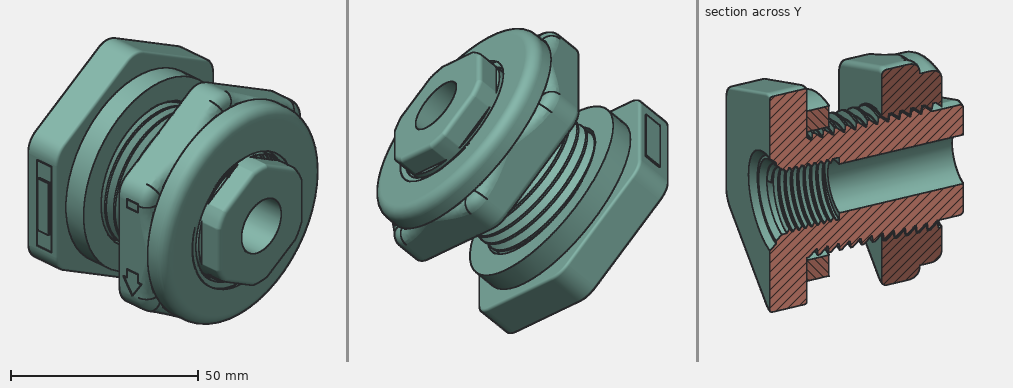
import cadquery as cq
import math


hex_across_flats = 62.99
hex_corner_radius = 6.35
flat_distance = hex_across_flats / 2

overall_length = 55.88
head_length = 10.8
gasket_thickness = 6.35
nut_start = 32.26
nut_hex_length = 11.04
nut_flange_length = 6.35
nut_shoulder = nut_start + nut_hex_length
nut_end = nut_shoulder + nut_flange_length

head_edge_fillet = 0.8
core_diameter = 36.32
end_across_flats = 33.8
end_corner_fillet = 1.0
end_fillet = 1.27

thread_diameter = 40.54
thread_pitch = 3.175
thread_crest_width = 0.6
steep_flank_angle = 7
sloped_flank_angle = 45
thread_overlap = 0.4
crest_at_top = 18.94
body_thread_turns = 12

bore_diameter = 15.88
mouth_diameter = 30.04
ledge_outer_diameter = 26.4
ledge_inner_diameter = 24.54
tapped_diameter = 21.2
ledge_depth = (mouth_diameter - ledge_outer_diameter) / 2
tapped_start = ledge_depth + (ledge_inner_diameter - tapped_diameter) / 2
tap_pitch = 25.4 / 14
tap_length = 16.5
tap_taper = math.atan(1 / 32)
tap_ridge_height = 1.25
tap_crest_width = 0.2
tap_ridge_overlap = 0.1

label_length = 27.1
label_width = 5.2
label_center_x = 6.15
label_recess = 0.25
raised_height = 0.38
front_strip_length = 16.4
front_strip_width = 3.8
back_pad_length = 21.2

gasket_diameter = 55.88
gasket_bore = 41.91
nut_thread_minor = 37.7
nut_thread_major = 41.15
nut_thread_side_gap = 0.1
nut_sleeve_diameter = 50
nut_inner_fillet = 1.6
nut_blend_radius = 3.175
blend_tolerance = 0.02
flange_fillet = 3.175

arrow_center_x = 37.75
arrow_shaft_width = 4.0
arrow_head_width = 6.5
arrow_tip = 14.9
arrow_head_base = 9.95
arrow_shaft_end = 7.3
arrow_tail_end = 12.35
arrow_depth = 0.25


def cylinder(diameter, start, length):
    return cq.Workplane("YZ", origin=(start, 0, 0)).circle(diameter / 2).extrude(length)


def hexagon(across_flats, start, length):
    """Hexagonal bar along X with two flats facing -Y and +Y."""
    corner_diameter = across_flats / math.cos(math.pi / 6)
    return (cq.Workplane("YZ", origin=(start, 0, 0))
            .transformed(rotate=(0, 0, 30))
            .polygon(6, corner_diameter).extrude(length))


def rounded_hexagon(start, length):
    return hexagon(hex_across_flats, start, length).edges("|X").fillet(hex_corner_radius)


def flat_block(side, center_x, width, length, low, high):
    """Block on the -Y (side = -1) or +Y (side = 1) flat, spanning two distances from the axis."""
    return (cq.Workplane("XY")
            .box(width, high - low, length)
            .translate((center_x, side * (low + high) / 2, 0)))


def helical_solid(outline, path, start):
    """Sweep an outline of (axial, radial) points along a helix, laid about X from the -Z side."""
    points = [(radial, axial) for axial, radial in outline]
    solid = cq.Workplane("XZ").polyline(points).close().sweep(cq.Workplane(path), isFrenet=True)
    return solid.rotate((0, 0, 0), (0, 1, 0), 90).translate((start, 0, 0))


def buttress_outline(minor, major, crest_width):
    """Steep flank toward the head, sloped flank toward the nut, centred on the crest."""
    root = minor / 2 - thread_overlap
    height = major / 2 - root
    steep = height * math.tan(math.radians(steep_flank_angle))
    sloped = height * math.tan(math.radians(sloped_flank_angle))
    half_crest = crest_width / 2
    return [(-half_crest - steep, root), (-half_crest, major / 2),
            (half_crest, major / 2), (half_crest + sloped, root)]


def body_thread():
    first_crest = crest_at_top - 3.5 * thread_pitch
    outline = buttress_outline(core_diameter, thread_diameter, thread_crest_width)
    path = cq.Wire.makeHelix(thread_pitch, thread_pitch * body_thread_turns, core_diameter / 2, lefthand=True)
    return helical_solid(outline, path, first_crest)


def hex_end():
    """Round-cornered hexagon past the nut, cut from the core diameter."""
    length = overall_length - nut_end
    end = cylinder(core_diameter, nut_end, length).intersect(hexagon(end_across_flats, nut_end, length))
    return end.edges("|X").fillet(end_corner_fillet).faces(">X").edges().fillet(end_fillet)


def body_bore():
    """Stepped mouth, tapered tapped length and plain through bore, as one solid of revolution."""
    mouth, ledge_outer, ledge_inner, tapped, bore = [diameter / 2 for diameter in (
        mouth_diameter, ledge_outer_diameter, ledge_inner_diameter, tapped_diameter, bore_diameter)]
    tap_end = tapped_start + tap_length
    return (cq.Workplane("XY")
            .polyline([(0, 0), (0, mouth), (ledge_depth, ledge_outer), (ledge_depth, ledge_inner),
                       (tapped_start, tapped), (tap_end, tapped - tap_length * math.tan(tap_taper)),
                       (tap_end, bore), (overall_length, bore), (overall_length, 0)])
            .close()
            .revolve(360, (0, 0, 0), (1, 0, 0)))


def tap_ridge():
    """Tapered right-handed pipe-thread ridge standing in the bore, starting on the +Y side."""
    wall = tapped_diameter / 2
    half_crest = tap_crest_width / 2
    foot = wall + tap_ridge_overlap
    half_foot = half_crest + (tap_ridge_height + tap_ridge_overlap) * math.tan(math.pi / 6)
    outline = [(-half_foot, foot), (-half_crest, wall - tap_ridge_height),
               (half_crest, wall - tap_ridge_height), (half_foot, foot)]
    path = cq.Wire.makeHelix(tap_pitch, tap_length - 2 * half_foot, wall, angle=-math.degrees(tap_taper))
    ridge = helical_solid(outline, path, tapped_start + half_foot)
    return ridge.rotate((0, 0, 0), (1, 0, 0), 90)


def head():
    block = rounded_hexagon(0, head_length).faces("<X or >X").edges().fillet(head_edge_fillet)
    recess_floor = flat_distance - label_recess
    raised_face = flat_distance + raised_height
    block = block.cut(flat_block(-1, label_center_x, label_width, label_length, recess_floor, raised_face))
    block = block.union(flat_block(-1, label_center_x, front_strip_width, front_strip_length,
                                   recess_floor - 1, raised_face))
    return block.union(flat_block(1, label_center_x, label_width, back_pad_length,
                                  recess_floor - 1, raised_face))


def make_body():
    core = cylinder(core_diameter, 0, nut_end)
    body = core.union(body_thread()).union(head()).union(hex_end())
    return body.cut(body_bore().cut(tap_ridge()))


def make_gasket():
    return (cylinder(gasket_diameter, head_length, gasket_thickness)
            .cut(cylinder(gasket_bore, head_length, gasket_thickness)))


def blend_set_back(along_flat):
    """Distance from the shoulder to the start of the blend, zero where the flange meets the flat."""
    gap = math.hypot(flat_distance, along_flat) - flat_distance
    gap = min(gap, nut_blend_radius)
    return math.sqrt(nut_blend_radius ** 2 - (nut_blend_radius - gap) ** 2)


def flat_blend_cutter(half_flat):
    """Removes the stock outside the rounded blend on half of the -Y flat."""
    columns = 8
    rows = 6
    grid = []
    for i in range(columns + 1):
        along = half_flat * i / columns
        start = nut_shoulder - blend_set_back(along)
        column = []
        for j in range(rows + 1):
            angle = math.pi / 2 * j / rows
            depth = nut_blend_radius * (1 - math.cos(angle))
            column.append(cq.Vector(start + nut_blend_radius * math.sin(angle), depth - flat_distance, along))
        grid.append(column)
    surface = cq.Face.makeSplineApprox(grid, tol=blend_tolerance, maxDeg=8)
    reach = 2 * nut_blend_radius
    return cq.Workplane(cq.Solid.extrudeLinear(surface, cq.Vector(reach, -reach, 0)))


def corner_blend_cutter(half_flat):
    """Removes the stock outside the rounded blend on the corner above the -Y flat."""
    center_y = hex_corner_radius - flat_distance
    start = nut_shoulder - nut_blend_radius
    reach = 2 * nut_blend_radius
    sag = nut_blend_radius * math.sqrt(0.5)
    profile = (cq.Workplane("XY", origin=(0, 0, half_flat))
               .moveTo(start, -flat_distance)
               .threePointArc((start + sag, -flat_distance + nut_blend_radius - sag),
                              (nut_shoulder, -flat_distance + nut_blend_radius))
               .lineTo(nut_shoulder + reach, -flat_distance + nut_blend_radius - reach)
               .lineTo(start + reach, -flat_distance - reach)
               .close())
    return profile.revolve(60, (0, center_y, 0), (-1, center_y, 0))


def nut_hexagon():
    return rounded_hexagon(nut_start, nut_hex_length).faces("<X").edges().fillet(nut_inner_fillet)


def side_blend_cutter():
    """Everything to remove at the shoulder along the -Y flat and the corner above it."""
    half_flat = (flat_distance - hex_corner_radius) * math.tan(math.pi / 6)
    upper = flat_blend_cutter(half_flat)
    return upper.union(upper.mirror("XY")).union(corner_blend_cutter(half_flat))


def nut_flange():
    return (cylinder(hex_across_flats, nut_shoulder, nut_flange_length)
            .faces(">X").edges().fillet(flange_fillet))


def arrow_marking():
    """Shaft, head and tail of the tightening arrow on the -Y flat."""
    half_shaft = arrow_shaft_width / 2
    half_head = arrow_head_width / 2
    plane = cq.Workplane("XZ", origin=(arrow_center_x, arrow_depth - flat_distance, 0))
    arrow = (plane.polyline([(-half_shaft, -arrow_shaft_end), (half_shaft, -arrow_shaft_end),
                             (half_shaft, -arrow_head_base), (half_head, -arrow_head_base),
                             (0, -arrow_tip), (-half_head, -arrow_head_base),
                             (-half_shaft, -arrow_head_base)])
             .close().extrude(2 * arrow_depth))
    tail_length = arrow_tip - arrow_tail_end
    tail = (plane.center(0, arrow_tail_end + tail_length / 2)
            .rect(arrow_shaft_width, tail_length).extrude(2 * arrow_depth))
    return arrow.union(tail)


def nut_thread_groove():
    length = nut_end - nut_start
    turns = math.ceil(length / thread_pitch) + 2
    skipped = math.floor((nut_start - crest_at_top) / thread_pitch) - 1
    first_crest = crest_at_top + (skipped + 0.5) * thread_pitch
    crest_width = thread_crest_width + 2 * nut_thread_side_gap
    outline = buttress_outline(nut_thread_minor, nut_thread_major, crest_width)
    path = cq.Wire.makeHelix(thread_pitch, thread_pitch * turns, nut_thread_minor / 2, lefthand=True)
    return helical_solid(outline, path, first_crest)


def nut_shell():
    """Blended hexagon and flange, open for the threaded sleeve."""
    block = nut_hexagon()
    cutter = side_blend_cutter()
    for side in range(6):
        block = block.cut(cutter.rotate((0, 0, 0), (1, 0, 0), 60 * side))
    block = block.union(nut_flange()).cut(arrow_marking())
    return block.cut(cylinder(nut_sleeve_diameter, nut_start, nut_end - nut_start))


def nut_sleeve():
    length = nut_end - nut_start
    sleeve = cylinder(nut_sleeve_diameter, nut_start, length)
    return sleeve.cut(cylinder(nut_thread_minor, nut_start, length)).cut(nut_thread_groove())


def make_nut():
    return nut_shell().union(nut_sleeve(), glue=True)


body = make_body()
gasket = make_gasket()
nut = make_nut()

result = cq.Compound.makeCompound([body.solids().val(), gasket.solids().val(), nut.solids().val()])